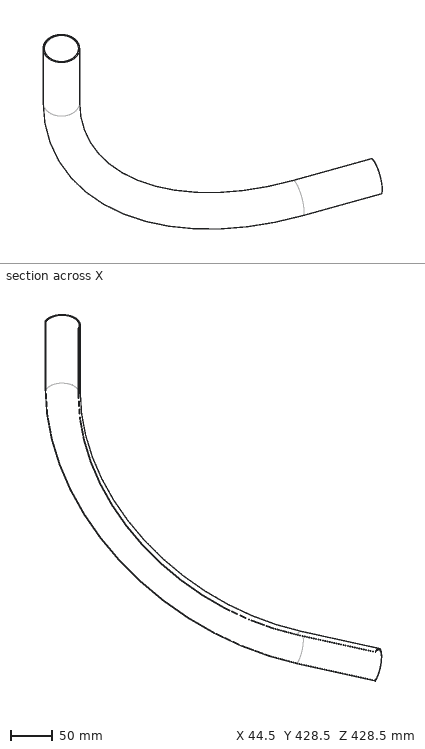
import cadquery as cq
import math

overall_size = 428.5
outer_diameter = 44.5
inner_diameter = 41.0
leg_length = 101.0

bend_radius = overall_size - outer_diameter / 2 - leg_length

arc_middle = bend_radius * (1 - math.cos(math.radians(45)))
centreline = (
    cq.Workplane("YZ")
    .moveTo(0, bend_radius + leg_length)
    .lineTo(0, bend_radius)
    .threePointArc((arc_middle, arc_middle), (bend_radius, 0))
    .lineTo(bend_radius + leg_length, 0)
)

result = (
    cq.Workplane("XY", origin=(0, 0, bend_radius + leg_length))
    .circle(outer_diameter / 2)
    .circle(inner_diameter / 2)
    .sweep(centreline)
)